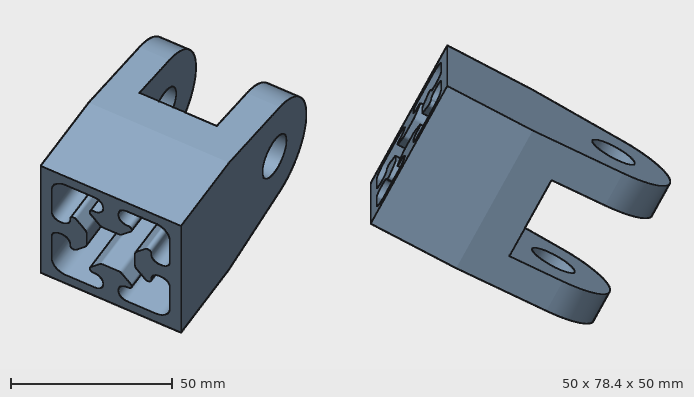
import cadquery as cq
import math

length = 78.4
width = 50.0
straight_length = 30.0
nose_radius = 20.0
pivot_y = length - nose_radius
pivot_diameter = 15.0

left_cheek = 10.75
gap_width = 27.5
gap_floor_y = 43.0

wall = 4.0
socket_depth = 30.0
socket_corner_radius = 5.0

neck_half_width = 2.75
neck_radius = 3.0
neck_flat = 0.6
key_tip = 8.6
key_tip_half_width = 3.45
key_tip_radius = 1.7
barb_radius = 1.25

half_width = width / 2
socket_half = half_width - wall
barb_height = socket_half - 2 * neck_radius - neck_flat
barb_half_width = key_tip_half_width + barb_height - key_tip
neck_centre = neck_half_width + neck_radius


def make_body():
    """Side outline with flanks tangent to the round nose, extruded across X."""
    run = pivot_y - straight_length
    flank_reach = math.hypot(run, half_width)
    normal_angle = math.atan2(half_width, -run) - math.acos(nose_radius / flank_reach)
    tangent_y = pivot_y + nose_radius * math.cos(normal_angle)
    tangent_z = nose_radius * math.sin(normal_angle)
    return (
        cq.Workplane("YZ", origin=(-half_width, 0, 0))
        .moveTo(0, -half_width)
        .lineTo(straight_length, -half_width)
        .lineTo(tangent_y, -tangent_z)
        .threePointArc((length, 0), (tangent_y, tangent_z))
        .lineTo(straight_length, half_width)
        .lineTo(0, half_width)
        .close()
        .extrude(width)
    )


def make_gap():
    gap_length = length - gap_floor_y
    return cq.Workplane("XY").box(gap_width, gap_length, width, centered=(False, False, True)).translate(
        (left_cheek - half_width, gap_floor_y, 0)
    )


def make_pivot_hole():
    return (
        cq.Workplane("YZ", origin=(-half_width, 0, 0))
        .center(pivot_y, 0)
        .circle(pivot_diameter / 2)
        .extrude(width)
    )


def make_key():
    """Key on the +Z wall: barbed head on a neck with filleted concave sides."""
    head = (
        cq.Workplane("XZ")
        .polyline([
            (-barb_half_width, barb_height),
            (barb_half_width, barb_height),
            (key_tip_half_width, key_tip),
            (-key_tip_half_width, key_tip),
        ])
        .close()
        .extrude(-socket_depth)
    )
    head = head.edges("|Y and >Z").fillet(barb_radius)
    head = head.edges("|Y and <Z").fillet(key_tip_radius)
    neck_low = barb_height + neck_radius
    neck_high = neck_low + neck_flat
    neck = (
        cq.Workplane("XZ")
        .moveTo(-neck_centre, barb_height)
        .lineTo(neck_centre, barb_height)
        .radiusArc((neck_half_width, neck_low), neck_radius)
        .lineTo(neck_half_width, neck_high)
        .radiusArc((neck_centre, socket_half), neck_radius)
        .lineTo(-neck_centre, socket_half)
        .radiusArc((-neck_half_width, neck_high), neck_radius)
        .lineTo(-neck_half_width, neck_low)
        .radiusArc((-neck_centre, barb_height), neck_radius)
        .close()
        .extrude(-socket_depth)
    )
    return head.union(neck)


def make_socket():
    """Volume to remove: the rounded square pocket less its four keys."""
    socket = cq.Workplane("XZ").rect(2 * socket_half, 2 * socket_half).extrude(-socket_depth)
    socket = socket.edges("|Y").fillet(socket_corner_radius)
    key = make_key()
    for angle in (0, 90, 180, 270):
        socket = socket.cut(key.rotate((0, 0, 0), (0, 1, 0), angle))
    return socket


result = make_body().cut(make_gap()).cut(make_pivot_hole()).cut(make_socket())